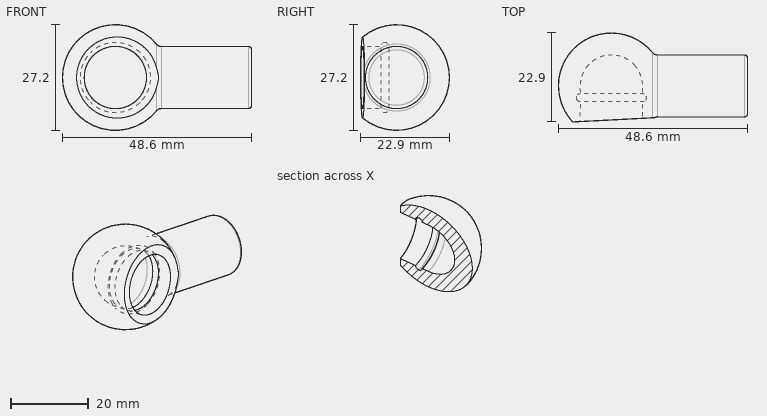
import cadquery as cq
import math

length = 48.6
ball_radius = 13.6
shank_radius = 16.0 / 2
neck_fillet = 1.7
end_fillet = 0.87

face_distance = 8.75
face_tilt = 3.0

socket_radius = 16.0 / 2
groove_radius = 1.0
groove_y = -3.0

shank_end = length - ball_radius
cut_size = 4 * ball_radius


def make_body():
    """Ball, concave neck and shank, turned as one profile about X."""
    neck_y = shank_radius + neck_fillet
    neck_x = math.sqrt((ball_radius + neck_fillet) ** 2 - neck_y**2)
    ball_share = ball_radius / (ball_radius + neck_fillet)
    neck_start = (neck_x * ball_share, neck_y * ball_share)
    neck_angle = (math.atan2(neck_y, neck_x) + math.pi / 2) / 2
    neck_middle = (
        neck_x - neck_fillet * math.cos(neck_angle),
        neck_y - neck_fillet * math.sin(neck_angle),
    )
    profile = (
        cq.Workplane("XY")
        .moveTo(-ball_radius, 0)
        .threePointArc((0, ball_radius), neck_start)
        .threePointArc(neck_middle, (neck_x, shank_radius))
        .lineTo(shank_end, shank_radius)
        .lineTo(shank_end, 0)
        .close()
    )
    body = profile.revolve(360, (0, 0, 0), (1, 0, 0))
    return body.faces(">X").edges().fillet(end_fillet)


def make_face_cut():
    """Block that leaves the tilted flat; it stops where the ball meets the neck."""
    face_radius = math.sqrt(ball_radius**2 - face_distance**2)
    block = cq.Workplane("XY").box(2 * face_radius + neck_fillet, cut_size, cut_size)
    block = block.translate((0, -face_distance - cut_size / 2, 0))
    return block.rotate((0, 0, 0), (0, 0, 1), face_tilt)


def make_socket():
    """Cylindrical bore along Y, its hemispherical bottom and the ring groove."""
    bore = cq.Workplane("XZ").circle(socket_radius).extrude(ball_radius)
    bottom = cq.Workplane("XY").sphere(socket_radius)
    groove = (
        cq.Workplane("XY")
        .center(socket_radius, groove_y)
        .circle(groove_radius)
        .revolve(360, (-socket_radius, 0, 0), (-socket_radius, 1, 0))
    )
    return bore.union(bottom).union(groove)


result = make_body().cut(make_face_cut()).cut(make_socket())